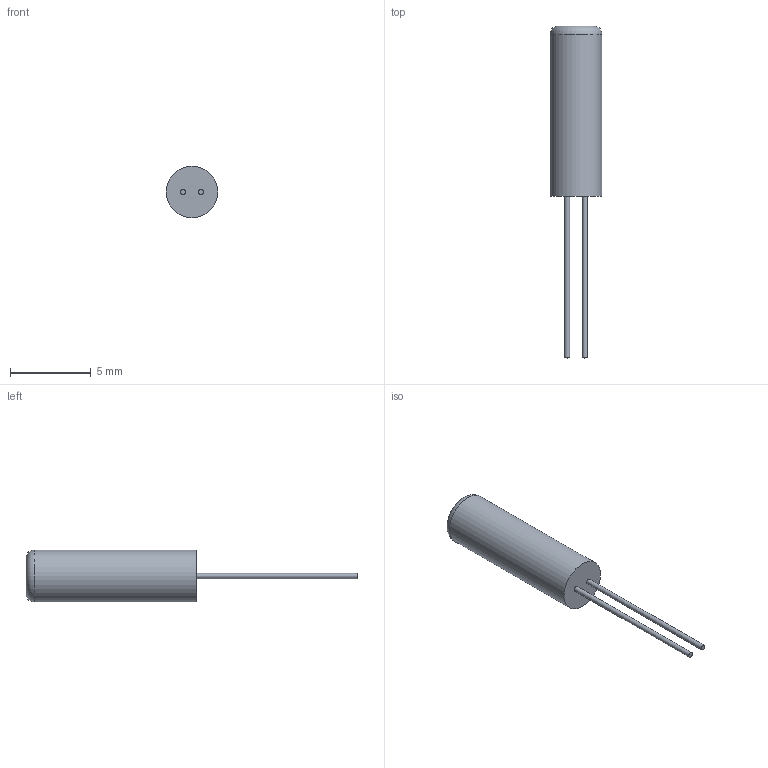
import cadquery as cq

can_diameter = 3.2
can_length = 10.5
can_edge_radius = 0.5
lead_diameter = 0.32
lead_length = 10.0
lead_pitch = 1.1


def rod_along_y(diameter, length, direction, x=0.0):
    """Round rod starting on the Y = 0 plane; direction is +1 or -1 along Y."""
    rod = cq.Solid.makeCylinder(
        diameter / 2, length, cq.Vector(x, 0, 0), cq.Vector(0, direction, 0)
    )
    return cq.Workplane(obj=rod)


def make_can():
    """Can body with its closed +Y end rounded over."""
    can = rod_along_y(can_diameter, can_length, 1)
    return can.faces(">Y").edges().fillet(can_edge_radius)


result = make_can()
for side in (-1, 1):
    lead = rod_along_y(lead_diameter, lead_length, -1, side * lead_pitch / 2)
    result = result.union(lead)